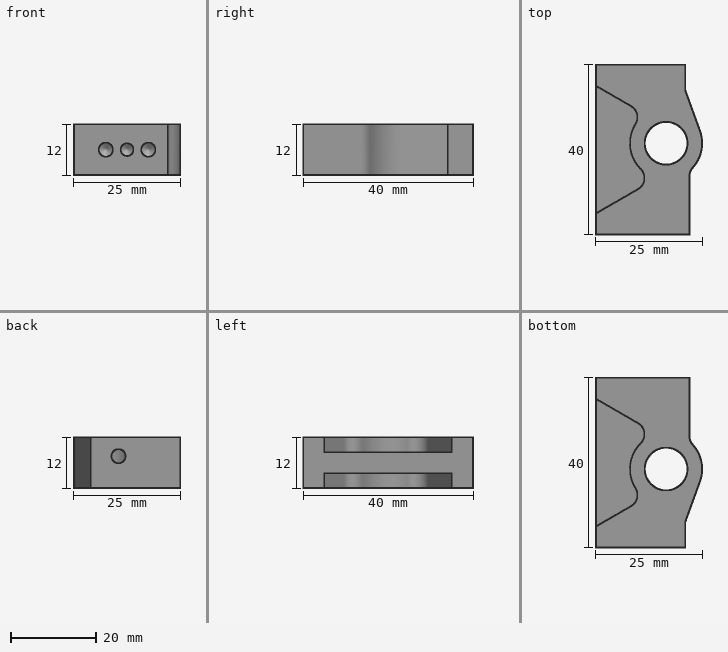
import cadquery as cq
import math

LENGTH = 40.0
THICKNESS = 12.0
WIDTH_BACK = 21.0
WIDTH_FRONT = 22.0

BORE_X = 16.5
BORE_Y = 1.5
BORE_RADIUS = 5.0
HUB_RADIUS = 8.5
SHOULDER_Y = 14.0
BLEND_RADIUS = 3.0

POCKET_DEPTH = 3.5
POCKET_HALF_MOUTH = 15.0
POCKET_SLOPE = math.radians(30)

HOLE_PITCH = 5.0
DOWEL_X = 12.5
DOWEL_DIAMETER = 3.0
TAP_DIAMETER = 3.3
END_HOLE_DEPTH = 10.0
DRILL_HALF_ANGLE = math.radians(59)

SCREW_X = 14.5
SCREW_Z = 1.5


def hub_point(angle):
    """Point of the hub circle at an angle from +X."""
    return (BORE_X + HUB_RADIUS * math.cos(angle), BORE_Y + HUB_RADIUS * math.sin(angle))


def hub_angle(point):
    """Direction of a point as seen from the bore axis."""
    return math.atan2(point[1] - BORE_Y, point[0] - BORE_X)


def make_block():
    shoulder = (WIDTH_BACK, SHOULDER_Y)
    shoulder_distance = math.hypot(WIDTH_BACK - BORE_X, SHOULDER_Y - BORE_Y)
    flank_angle = hub_angle(shoulder) - math.acos(HUB_RADIUS / shoulder_distance)

    blend_x = WIDTH_FRONT + BLEND_RADIUS
    blend_y = BORE_Y - math.sqrt((HUB_RADIUS + BLEND_RADIUS) ** 2 - (blend_x - BORE_X) ** 2)
    blend_angle = hub_angle((blend_x, blend_y))
    middle_angle = math.pi + blend_angle / 2
    blend_middle = (
        blend_x + BLEND_RADIUS * math.cos(middle_angle),
        blend_y + BLEND_RADIUS * math.sin(middle_angle),
    )
    return (
        cq.Workplane("XY", origin=(0, 0, -THICKNESS / 2))
        .moveTo(0, -LENGTH / 2)
        .lineTo(0, LENGTH / 2)
        .lineTo(WIDTH_BACK, LENGTH / 2)
        .lineTo(*shoulder)
        .lineTo(*hub_point(flank_angle))
        .threePointArc(hub_point(0), hub_point(blend_angle))
        .threePointArc(blend_middle, (WIDTH_FRONT, blend_y))
        .lineTo(WIDTH_FRONT, -LENGTH / 2)
        .close()
        .extrude(THICKNESS)
    )


def pocket_corner(side):
    """Start, middle and end of the round corner on the +Y (1) or -Y (-1) side.

    The corner arc touches the sloping wall and the hub circle.
    """
    normal = (math.sin(POCKET_SLOPE), side * math.cos(POCKET_SLOPE))
    along = (math.cos(POCKET_SLOPE), -side * math.sin(POCKET_SLOPE))
    mouth = (0, side * POCKET_HALF_MOUTH)
    to_hub = (BORE_X - mouth[0], BORE_Y - mouth[1])
    hub_along = to_hub[0] * along[0] + to_hub[1] * along[1]
    hub_across = to_hub[0] * normal[0] + to_hub[1] * normal[1]
    travel = hub_along - math.sqrt(
        (HUB_RADIUS + BLEND_RADIUS) ** 2 - (hub_across + BLEND_RADIUS) ** 2
    )
    start = (mouth[0] + travel * along[0], mouth[1] + travel * along[1])
    center = (start[0] - BLEND_RADIUS * normal[0], start[1] - BLEND_RADIUS * normal[1])
    end_angle = math.atan2(BORE_Y - center[1], BORE_X - center[0])
    start_angle = math.atan2(normal[1], normal[0])
    middle_angle = (start_angle + end_angle) / 2
    middle = (
        center[0] + BLEND_RADIUS * math.cos(middle_angle),
        center[1] + BLEND_RADIUS * math.sin(middle_angle),
    )
    end = (
        center[0] + BLEND_RADIUS * math.cos(end_angle),
        center[1] + BLEND_RADIUS * math.sin(end_angle),
    )
    return start, middle, end


def make_pocket(floor_z):
    back_start, back_middle, back_end = pocket_corner(1)
    front_start, front_middle, front_end = pocket_corner(-1)
    return (
        cq.Workplane("XY", origin=(0, 0, floor_z))
        .moveTo(0, POCKET_HALF_MOUTH)
        .lineTo(*back_start)
        .threePointArc(back_middle, back_end)
        .threePointArc(hub_point(math.pi), front_end)
        .threePointArc(front_middle, front_start)
        .lineTo(0, -POCKET_HALF_MOUTH)
        .close()
        .extrude(POCKET_DEPTH)
    )


def make_drilled_hole(x, diameter):
    """Blind hole with a conical bottom, drilled along +Y."""
    radius = diameter / 2
    front = -LENGTH / 2
    bottom = front + END_HOLE_DEPTH
    return (
        cq.Workplane("XY")
        .moveTo(x, front)
        .lineTo(x + radius, front)
        .lineTo(x + radius, bottom)
        .lineTo(x, bottom + radius / math.tan(DRILL_HALF_ANGLE))
        .close()
        .revolve(360, (x, front, 0), (x, bottom, 0))
    )


def make_bore():
    return (
        cq.Workplane("XY", origin=(BORE_X, BORE_Y, -THICKNESS / 2))
        .circle(BORE_RADIUS)
        .extrude(THICKNESS)
    )


def make_screw_hole():
    return (
        cq.Workplane("XZ", origin=(SCREW_X, LENGTH / 2, SCREW_Z))
        .circle(TAP_DIAMETER / 2)
        .extrude(LENGTH / 2 - BORE_Y)
    )


result = make_block().cut(make_bore())
for pocket_floor in (THICKNESS / 2 - POCKET_DEPTH, -THICKNESS / 2):
    result = result.cut(make_pocket(pocket_floor))
result = result.cut(make_drilled_hole(DOWEL_X, DOWEL_DIAMETER))
for tap_x in (DOWEL_X - HOLE_PITCH, DOWEL_X + HOLE_PITCH):
    result = result.cut(make_drilled_hole(tap_x, TAP_DIAMETER))
result = result.cut(make_screw_hole())